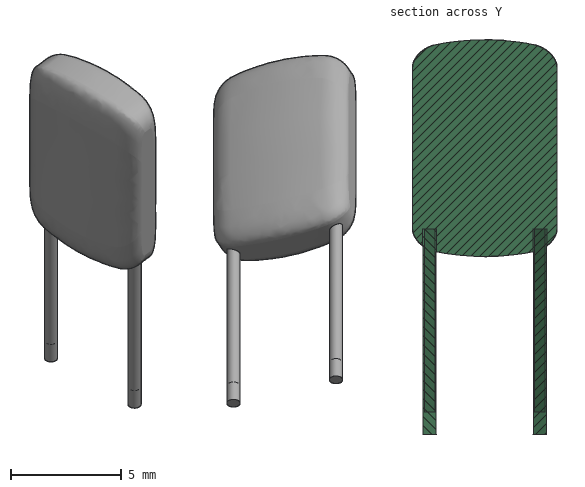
import cadquery as cq
import math

TOTAL_HEIGHT = 17.91
BODY_WIDTH = 6.57
BODY_DEPTH = 2.61
BODY_HEIGHT = 9.85
BODY_CENTER_Z = TOTAL_HEIGHT - BODY_HEIGHT / 2

CROWN_HALF_WIDTH = 2.19
HEIGHT_CROWN_DROP = 0.21
DEPTH_CROWN_DROP = 0.15
SIDE_HALF_HEIGHT = 3.64
SIDE_HALF_DEPTH = 0.43
CROWN_STEPS = 3
ROUND_STEPS = 6

CORNER_HEIGHT = 1.61
CORNER_DEPTH_SHARE = 0.55
CORNER_FULLNESS = 0.65

LEAD_PITCH = 5.0
WIRE_DIAMETER = 0.5
SLEEVE_DIAMETER = 0.6
SLEEVE_TIP_LENGTH = 1.0
LEAD_TOP_Z = 9.31


def half_size_at(angle, half_size, crown_drop, side_half_size):
    """Half size in the rounded zone, from the crown edge (0) to the narrow side (90 degrees)."""
    edge_half_size = half_size - crown_drop
    edge_slope = 2 * crown_drop / CROWN_HALF_WIDTH
    round_width = BODY_WIDTH / 2 - CROWN_HALF_WIDTH
    slope_drop = edge_slope * round_width
    round_drop = edge_half_size - side_half_size - slope_drop
    return edge_half_size - slope_drop * math.sin(angle) - round_drop * (1 - math.cos(angle))


def half_stations():
    """(x, half depth, half height) of the cross-sections from the middle to the +X side."""
    stations = []
    for step in range(CROWN_STEPS):
        share = step / CROWN_STEPS
        half_depth = BODY_DEPTH / 2 - DEPTH_CROWN_DROP * share**2
        half_height = BODY_HEIGHT / 2 - HEIGHT_CROWN_DROP * share**2
        stations.append((CROWN_HALF_WIDTH * share, half_depth, half_height))
    for step in range(ROUND_STEPS + 1):
        angle = math.pi / 2 * step / ROUND_STEPS
        x = CROWN_HALF_WIDTH + (BODY_WIDTH / 2 - CROWN_HALF_WIDTH) * math.sin(angle)
        half_depth = half_size_at(angle, BODY_DEPTH / 2, DEPTH_CROWN_DROP, SIDE_HALF_DEPTH)
        half_height = half_size_at(angle, BODY_HEIGHT / 2, HEIGHT_CROWN_DROP, SIDE_HALF_HEIGHT)
        stations.append((x, half_depth, half_height))
    return stations


def body_section(x, half_depth, half_height):
    """Rounded rectangle across the body at x: straight sides joined by four corner curves."""
    flat_y = half_depth * (1 - CORNER_DEPTH_SHARE)
    flat_z = half_height - CORNER_HEIGHT
    pull_y = flat_y + CORNER_FULLNESS * (half_depth - flat_y)
    pull_z = flat_z + CORNER_FULLNESS * CORNER_HEIGHT
    corner = [(half_depth, flat_z), (half_depth, pull_z), (pull_y, half_height), (flat_y, half_height)]

    edges = []
    last_end = cq.Vector(x, half_depth, BODY_CENTER_Z - flat_z)
    for side_y, side_z in ((1, 1), (-1, 1), (-1, -1), (1, -1)):
        points = [cq.Vector(x, side_y * y, BODY_CENTER_Z + side_z * z) for y, z in corner]
        if side_y != side_z:
            points.reverse()
        edges.append(cq.Edge.makeLine(last_end, points[0]))
        edges.append(cq.Edge.makeBezier(points))
        last_end = points[-1]
    return cq.Wire.assembleEdges(edges)


def make_body():
    right_half = half_stations()
    left_half = [(-x, depth, height) for x, depth, height in reversed(right_half[1:])]
    sections = [body_section(*station) for station in left_half + right_half]
    return cq.Workplane(obj=cq.Solid.makeLoft(sections))


def make_wire(x):
    wire_length = LEAD_TOP_Z - SLEEVE_TIP_LENGTH
    return cq.Workplane(origin=(x, 0, SLEEVE_TIP_LENGTH)).circle(WIRE_DIAMETER / 2).extrude(wire_length)


def make_sleeve(x):
    outside = cq.Workplane(origin=(x, 0, 0)).circle(SLEEVE_DIAMETER / 2).extrude(LEAD_TOP_Z)
    return outside.cut(make_wire(x))


body = make_body()
wires = []
sleeves = []
for lead_x in (-LEAD_PITCH / 2, LEAD_PITCH / 2):
    wire = make_wire(lead_x)
    sleeve = make_sleeve(lead_x)
    body = body.cut(wire).cut(sleeve)
    wires.append(wire.val())
    sleeves.append(sleeve.val())

result = cq.Compound.makeCompound([body.val(), *wires, *sleeves])